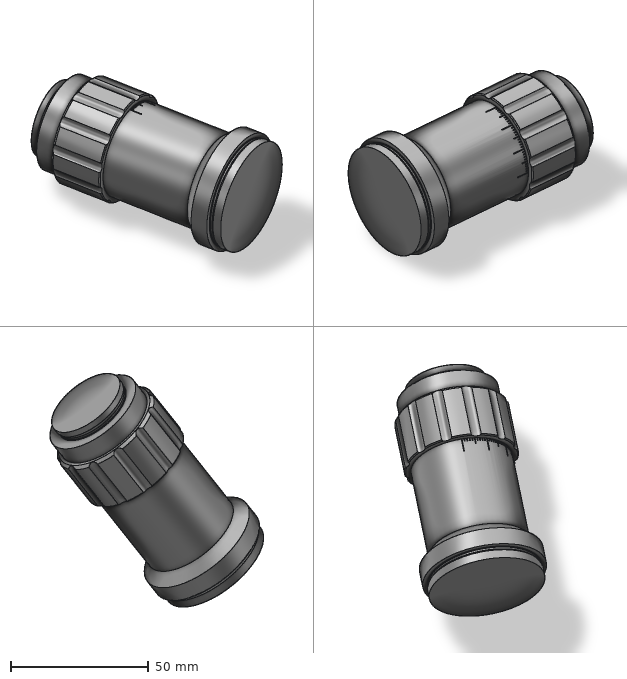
import cadquery as cq

total_length = 85.0
rear_collar_radius = 15.0
rear_collar_length = 2.4
rear_neck_radius = 14.4
rear_taper_end = 3.65
barrel_start = 4.7
barrel_radius = 18.8
flange_diameter = 46.0
flange_radius = flange_diameter / 2
flange_start = 73.3
flange_end = 80.0
cone_start = flange_start - (flange_radius - barrel_radius)
front_neck_radius = 21.0
front_taper_start = 81.0
front_rim_start = 81.7
front_rim_radius = 21.5
root_chamfer = 0.25

grip_start = 12.1
grip_end = 33.1
grip_radius = 21.2
grip_rear_chamfer = 1.1
grip_front_chamfer = 0.4
flute_count = 12
flute_pitch = 360 / flute_count
flute_depth = 1.0
flute_radius = 2.55

graduation_angle = 3.0
graduation_steps = 30
steps_per_division = 10
steps_per_half_division = 5
division_line_length = 4.9
half_division_line_length = 2.4
fine_line_length = 1.0
line_width = 0.25
line_depth = 0.1


def make_barrel():
    """Revolve the stepped half profile about the X axis."""
    profile = [
        (0, 0),
        (0, rear_collar_radius),
        (rear_collar_length, rear_collar_radius),
        (rear_taper_end, rear_neck_radius),
        (barrel_start - root_chamfer, rear_neck_radius),
        (barrel_start, rear_neck_radius + root_chamfer),
        (barrel_start, barrel_radius),
        (cone_start, barrel_radius),
        (flange_start, flange_radius),
        (flange_end, flange_radius),
        (flange_end, front_neck_radius + root_chamfer),
        (flange_end + root_chamfer, front_neck_radius),
        (front_taper_start, front_neck_radius),
        (front_rim_start, front_rim_radius),
        (total_length, front_rim_radius),
        (total_length, 0),
    ]
    return cq.Workplane("XY").polyline(profile).close().revolve(360, (0, 0, 0), (1, 0, 0))


def make_grip():
    """Chamfered ring with round flutes centred between the axis directions."""
    grip_length = grip_end - grip_start
    grip = cq.Workplane("YZ", origin=(grip_start, 0, 0)).circle(grip_radius).extrude(grip_length)
    grip = grip.faces("<X").chamfer(grip_rear_chamfer)
    grip = grip.faces(">X").chamfer(grip_front_chamfer)
    flute_centre_radius = grip_radius - flute_depth + flute_radius
    flutes = (
        cq.Workplane("YZ", origin=(grip_start, 0, 0))
        .polarArray(flute_centre_radius, flute_pitch / 2, 360, flute_count)
        .circle(flute_radius)
        .extrude(grip_length)
    )
    return grip.cut(flutes)


def graduation_length(step):
    """Long line on each division, medium on each half division, short otherwise."""
    if step % steps_per_division == 0:
        return division_line_length
    if step % steps_per_half_division == 0:
        return half_division_line_length
    return fine_line_length


def make_graduations():
    """Cutters for the graduation lines, turned from +Z toward +Y."""
    cutters = cq.Workplane("XY")
    for step in range(graduation_steps + 1):
        line = cq.Workplane("XY", origin=(grip_end, 0, barrel_radius)).box(
            graduation_length(step), line_width, 2 * line_depth, centered=(False, True, True)
        )
        cutters = cutters.add(line.rotate((0, 0, 0), (1, 0, 0), -step * graduation_angle))
    return cutters.combine()


result = make_barrel().union(make_grip()).cut(make_graduations())